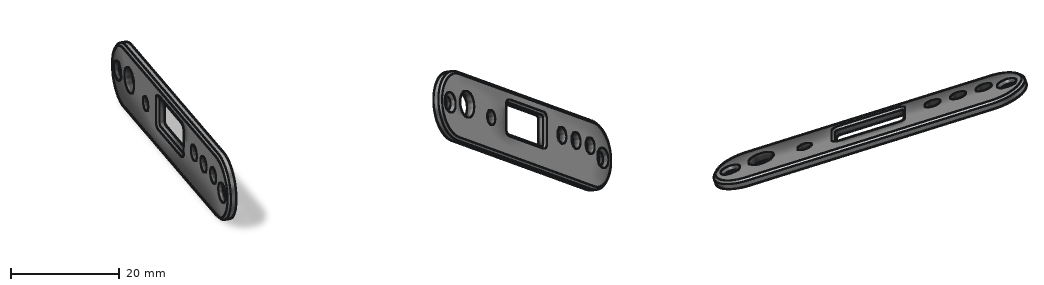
import cadquery as cq

LENGTH = 60.8
HEIGHT = 13.0
THICKNESS = 1.6
RIM_CHAMFER = 0.5

WINDOW_LENGTH = 13.35
WINDOW_HEIGHT = 6.0
WINDOW_CORNER_RADIUS = 0.7
WINDOW_CENTER_Z = 1.15

SCREW_HOLE_DIAMETER = 2.4
SCREW_HEAD_DIAMETER = 3.8
COUNTERSINK_ANGLE = 90.0
SCREW_OFFSET_X = 27.0

LARGE_HOLE_DIAMETER = 4.95
LARGE_HOLE_CENTER = (-21.0, 0.8)
SMALL_HOLE_DIAMETER = 2.8
SMALL_HOLE_CENTER = (-12.5, -0.05)
ROW_HOLE_DIAMETER = 3.1
ROW_HOLE_COUNT = 3
ROW_PITCH = 5.0
ROW_START_X = 12.5
ROW_Z = 1.45

FRONT_Y = -THICKNESS / 2


def front_plane():
    """Workplane on the front face: local x along X, local y along Z, normal along -Y."""
    return cq.Workplane("XZ", origin=(0, FRONT_Y, 0))


def window_cutter():
    """Rounded rectangular prism through the full thickness."""
    return (
        front_plane()
        .center(0, WINDOW_CENTER_Z)
        .rect(WINDOW_LENGTH, WINDOW_HEIGHT)
        .extrude(-THICKNESS)
        .edges("|Y")
        .fillet(WINDOW_CORNER_RADIUS)
    )


def windowed_plate():
    """Plate with the window cut out and every front rim chamfered."""
    blank = front_plane().slot2D(LENGTH, HEIGHT).extrude(-THICKNESS)
    return blank.cut(window_cutter()).faces("<Y").chamfer(RIM_CHAMFER)


def drill(body, diameter, centers):
    """Cut plain through holes at the given (x, z) centers."""
    return body.copyWorkplane(front_plane()).pushPoints(centers).hole(diameter)


def countersink(body, centers):
    """Cut through holes countersunk from the front at the given (x, z) centers."""
    return (
        body.copyWorkplane(front_plane())
        .pushPoints(centers)
        .cskHole(SCREW_HOLE_DIAMETER, SCREW_HEAD_DIAMETER, COUNTERSINK_ANGLE)
    )


row_centers = [(ROW_START_X + i * ROW_PITCH, ROW_Z) for i in range(ROW_HOLE_COUNT)]
screw_centers = [(side * SCREW_OFFSET_X, 0) for side in (-1, 1)]

result = windowed_plate()
result = drill(result, LARGE_HOLE_DIAMETER, [LARGE_HOLE_CENTER])
result = drill(result, SMALL_HOLE_DIAMETER, [SMALL_HOLE_CENTER])
result = drill(result, ROW_HOLE_DIAMETER, row_centers)
result = countersink(result, screw_centers)